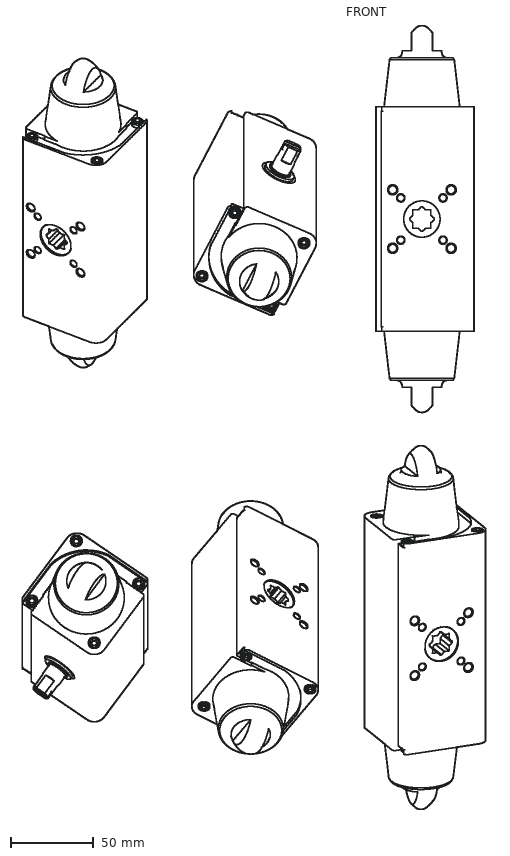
import cadquery as cq
import math


BODY_LENGTH = 135.5
NEAR_SIDE = 27.8
FAR_SIDE = 31.5
STEP_WALL = 22.0
STEP_END = 24.5
LARGE_CORNER_RADIUS = 7.5
STEP_CORNER_RADIUS = 1.6
FAR_CORNER_RADIUS = 2.8

RECESS_DEPTH = 2.8
RECESS_OUTER_WALL = 29.9
RECESS_OUTER_RADIUS = 30.3
RECESS_INNER_WALL = 22.5
RECESS_STEP = 13.8

TOTAL_LENGTH = 233.3
CAP_BASE_RADIUS = 22.9
CAP_TOP_RADIUS = 19.5
CAP_EDGE_WIDTH = 1.0
CAP_EDGE_HEIGHT = 1.5
CAP_TOP_Z = 97.3
STOP_FOOT_RADIUS = 15.2
STOP_BASE_RADIUS = 12.1
STOP_BASE_Z = 99.9
STOP_MIDDLE_RADIUS = 8.0
STOP_MIDDLE_Z = 110.4
TIP_DIAMETER = 8.6
TIP_Z = 114.5
STOP_LEDGE_Z = 101.5
STOP_FLAT_WIDTH = 12.8

SCREW_DIAMETER = 7.0
SCREW_EDGE = 0.7
SCREW_SOCKET_FLATS = 3.3
SCREW_SOCKET_DEPTH = 2.0
SCREW_NEAR = 20.3
SCREW_FAR = 26.0

SMALL_HOLE = (4.2, 5.0, 25.5)
LARGE_HOLE = (5.0, 6.0, 35.2)
HOLE_DEPTH = 9.3
DRILL_POINT_ANGLE = 118.0

HUB_DIAMETER = 22.0
HUB_INSET = 1.2
FLANGE_DIAMETER = 19.0
FLANGE_END = 29.5
COLLAR_DIAMETER = 14.0
COLLAR_END = 30.0
JOURNAL_DIAMETER = 12.0
JOURNAL_END = 36.6
TONGUE_DIAMETER = 11.2
TONGUE_START = 37.8
SHAFT_END = 47.5
TONGUE_FLATS = 9.3
SLOT_WIDTH = 3.3
SLOT_DEPTH = 4.2
STAR_SQUARE = 11.0
STAR_DIAMETER = 14.7
STAR_DEPTH = 14.0

BODY_TOP = BODY_LENGTH / 2
RECESS_FLOOR = BODY_TOP - RECESS_DEPTH
CLEAR = 2 * FAR_SIDE


def make_body():
    profile = [
        (-NEAR_SIDE, NEAR_SIDE),
        (STEP_WALL, NEAR_SIDE),
        (STEP_WALL, STEP_END),
        (FAR_SIDE, STEP_END),
        (FAR_SIDE, -FAR_SIDE),
        (-STEP_END, -FAR_SIDE),
        (-STEP_END, -STEP_WALL),
        (-NEAR_SIDE, -STEP_WALL),
    ]
    rounded_corners = [
        ((-NEAR_SIDE, NEAR_SIDE), LARGE_CORNER_RADIUS),
        ((FAR_SIDE, -FAR_SIDE), LARGE_CORNER_RADIUS),
        ((STEP_WALL, NEAR_SIDE), STEP_CORNER_RADIUS),
        ((-NEAR_SIDE, -STEP_WALL), STEP_CORNER_RADIUS),
        ((FAR_SIDE, STEP_END), FAR_CORNER_RADIUS),
        ((-STEP_END, -FAR_SIDE), FAR_CORNER_RADIUS),
    ]
    body = cq.Workplane("XY").polyline(profile).close().extrude(BODY_TOP, both=True)
    for (x, y), radius in rounded_corners:
        body = body.edges(cq.NearestToPointSelector((x, y, 0))).fillet(radius)
    return body


def make_recess():
    arc_start = math.sqrt(RECESS_OUTER_RADIUS**2 - RECESS_OUTER_WALL**2)
    arc_middle = RECESS_OUTER_RADIUS / math.sqrt(2)
    recess = (
        cq.Workplane("XY", origin=(0, 0, RECESS_FLOOR))
        .moveTo(STEP_WALL, NEAR_SIDE)
        .lineTo(RECESS_OUTER_WALL, NEAR_SIDE)
        .lineTo(RECESS_OUTER_WALL, -arc_start)
        .threePointArc((arc_middle, -arc_middle), (arc_start, -RECESS_OUTER_WALL))
        .lineTo(-NEAR_SIDE, -RECESS_OUTER_WALL)
        .lineTo(-NEAR_SIDE, -STEP_WALL)
        .lineTo(-RECESS_STEP, -STEP_WALL)
        .lineTo(-RECESS_STEP, -RECESS_INNER_WALL)
        .lineTo(0, -RECESS_INNER_WALL)
        .lineTo(RECESS_INNER_WALL, 0)
        .lineTo(RECESS_INNER_WALL, RECESS_STEP)
        .lineTo(STEP_WALL, RECESS_STEP)
        .close()
        .extrude(RECESS_DEPTH)
    )
    floor = cq.Workplane("XY", origin=(0, 0, RECESS_FLOOR))
    cap_foot = floor.circle(CAP_BASE_RADIUS).extrude(RECESS_DEPTH)
    return recess.cut(cap_foot)


def make_cap():
    """Conical cap at +Z with the ogive stop flattened on both X sides."""
    tip_radius = TIP_DIAMETER / 2
    tip_height = TOTAL_LENGTH / 2 - TIP_Z
    tip_sphere_radius = (tip_radius**2 + tip_height**2) / (2 * tip_height)
    tip_middle_radius = tip_radius / 2
    tip_sphere_z = TOTAL_LENGTH / 2 - tip_sphere_radius
    tip_middle_z = tip_sphere_z + math.sqrt(tip_sphere_radius**2 - tip_middle_radius**2)
    cap = (
        cq.Workplane("XZ")
        .moveTo(0, BODY_TOP)
        .lineTo(CAP_BASE_RADIUS, BODY_TOP)
        .lineTo(CAP_TOP_RADIUS, CAP_TOP_Z - CAP_EDGE_HEIGHT)
        .lineTo(CAP_TOP_RADIUS - CAP_EDGE_WIDTH, CAP_TOP_Z)
        .lineTo(STOP_FOOT_RADIUS, CAP_TOP_Z)
        .tangentArcPoint((STOP_BASE_RADIUS, STOP_BASE_Z), relative=False)
        .threePointArc((STOP_MIDDLE_RADIUS, STOP_MIDDLE_Z), (tip_radius, TIP_Z))
        .threePointArc((tip_middle_radius, tip_middle_z), (0, TOTAL_LENGTH / 2))
        .close()
        .revolve(360, (0, 0, 0), (0, 1, 0))
    )
    above_ledge = cq.Workplane("XY", origin=(0, 0, STOP_LEDGE_Z))
    stop_height = TOTAL_LENGTH / 2 - STOP_LEDGE_Z
    waste = above_ledge.rect(CLEAR, CLEAR).extrude(stop_height)
    blade = above_ledge.rect(STOP_FLAT_WIDTH, CLEAR).extrude(stop_height)
    return cap.cut(waste.cut(blade))


def add_screw_heads(body):
    """Flush hexagon-socket heads in the corners of the +Z end face."""
    places = [(x, y) for x in (-SCREW_NEAR, SCREW_FAR) for y in (SCREW_NEAR, -SCREW_FAR)]
    seats = (
        cq.Workplane("XY", origin=(0, 0, RECESS_FLOOR))
        .pushPoints(places)
        .circle(SCREW_DIAMETER / 2)
        .extrude(RECESS_DEPTH)
    )
    sockets = (
        cq.Workplane("XY", origin=(0, 0, BODY_TOP - SCREW_SOCKET_DEPTH))
        .pushPoints(places)
        .polygon(6, SCREW_SOCKET_FLATS, circumscribed=True)
        .extrude(SCREW_SOCKET_DEPTH)
    )
    heads = seats.faces(">Z").chamfer(SCREW_EDGE).cut(sockets)
    return body.cut(seats).union(heads)


def make_mounting_holes(hole):
    """Four drilled and countersunk holes in a square around the shaft."""
    diameter, mouth_diameter, spacing = hole
    radius = diameter / 2
    mouth = (mouth_diameter - diameter) / 2
    point = radius / math.tan(math.radians(DRILL_POINT_ANGLE / 2))
    drill = (
        cq.Workplane("XY")
        .polyline([
            (0, 0),
            (radius + mouth, 0),
            (radius, mouth),
            (radius, HOLE_DEPTH),
            (0, HOLE_DEPTH + point),
        ])
        .close()
        .revolve(360, (0, 0, 0), (0, 1, 0))
        .val()
    )
    face = cq.Workplane("XZ", origin=(0, -FAR_SIDE, 0))
    places = face.rect(spacing, spacing, forConstruction=True).vertices()
    return [drill.translate(place.Center()) for place in places.vals()]


def make_housing():
    body = make_body().cut(make_recess())
    body = add_screw_heads(body).union(make_cap())
    upper_space = cq.Workplane("XY").rect(2 * CLEAR, 2 * CLEAR).extrude(TOTAL_LENGTH)
    half = body.intersect(upper_space)
    housing = half.union(half.mirror("XY"))
    for hole in (SMALL_HOLE, LARGE_HOLE):
        for drill in make_mounting_holes(hole):
            housing = housing.cut(cq.Workplane(drill))
    bore = cq.Workplane("XZ").circle(HUB_DIAMETER / 2).extrude(CLEAR, both=True)
    return housing.cut(bore)


def make_shaft():
    hub_start = HUB_INSET - FAR_SIDE
    shaft = (
        cq.Workplane("XY")
        .polyline([
            (0, hub_start),
            (HUB_DIAMETER / 2, hub_start),
            (HUB_DIAMETER / 2, NEAR_SIDE),
            (FLANGE_DIAMETER / 2, NEAR_SIDE),
            (FLANGE_DIAMETER / 2, FLANGE_END),
            (COLLAR_DIAMETER / 2, FLANGE_END),
            (COLLAR_DIAMETER / 2, COLLAR_END),
            (JOURNAL_DIAMETER / 2, COLLAR_END),
            (JOURNAL_DIAMETER / 2, JOURNAL_END),
            (TONGUE_DIAMETER / 2, TONGUE_START),
            (TONGUE_DIAMETER / 2, SHAFT_END),
            (0, SHAFT_END),
        ])
        .close()
        .revolve(360, (0, 0, 0), (0, 1, 0))
    )
    return shaft.cut(make_tongue_flats()).cut(make_tongue_slot()).cut(make_star_socket())


def make_tongue_flats():
    """Material beside the two parallel flats of the tongue."""
    length = SHAFT_END - TONGUE_START
    shoulder = cq.Workplane("XZ", origin=(0, TONGUE_START, 0))
    around = shoulder.rect(HUB_DIAMETER, HUB_DIAMETER).extrude(-length)
    tongue = shoulder.rect(HUB_DIAMETER, TONGUE_FLATS).extrude(-length)
    return around.cut(tongue)


def make_tongue_slot():
    end_face = cq.Workplane("XZ", origin=(0, SHAFT_END, 0))
    return end_face.rect(HUB_DIAMETER, SLOT_WIDTH).extrude(SLOT_DEPTH)


def make_star_socket():
    """Square socket in the -Y end, crossed by a diagonal square with rounded-off points."""
    hub_face = cq.Workplane("XZ", origin=(0, HUB_INSET - FAR_SIDE, 0))
    square = hub_face.rect(STAR_SQUARE, STAR_SQUARE).extrude(-STAR_DEPTH)
    diagonal = square.rotate((0, 0, 0), (0, 1, 0), 45)
    limit = hub_face.circle(STAR_DIAMETER / 2).extrude(-STAR_DEPTH)
    return square.union(diagonal.intersect(limit))


housing = make_housing()
shaft = make_shaft()

result = cq.Compound.makeCompound([housing.val(), shaft.val()])